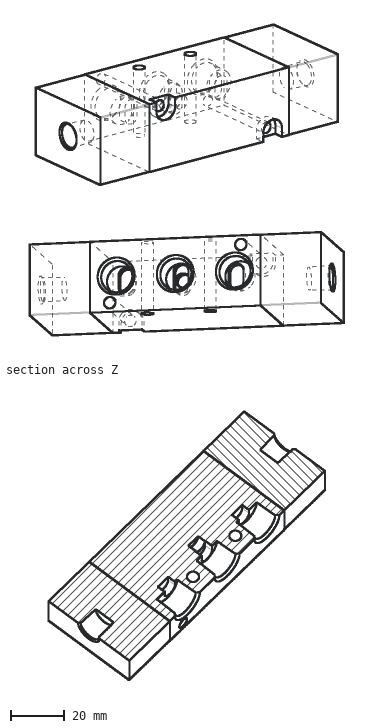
import cadquery as cq

width = 40.0
length = 111.0
height = 27.0
body_length = 65.0
cap_length = (length - body_length) / 2
cap_edge_radius = 0.3

bore_taper = 1 / 16

port_pitch = 22.5
port_diameter = 11.9
port_depth = 10.0
port_chamfer = 1.1
slot_width = 5.7
slot_depth = 3.3
outer_slot_length = 9.8
outer_slot_pitch = 21.0
middle_slot_length = 11.5
pilot_diameter = 5.3
pilot_depth = 3.3

mount_diameter = 4.3
vertical_hole_x = -13.5
vertical_hole_pitch = 24.0
cross_hole_y = 25.0
cross_hole_z = 10.0
head_width = 8.8
head_depth = 4.1

cap_port_diameter = 9.1
cap_port_depth = 8.9
cap_port_chamfer = 0.7

face_x = -width / 2
port_floor_x = face_x + port_depth
slot_floor_x = port_floor_x + slot_depth


def chamfered_bore(diameter, depth, chamfer):
    """Blind bore along +Z from the origin, tapering to its floor and chamfered at its mouth."""
    radius = diameter / 2
    floor_radius = radius - bore_taper * (depth - chamfer) / 2
    profile = [
        (0, 0),
        (radius + chamfer, 0),
        (radius, chamfer),
        (floor_radius, depth),
        (0, depth),
    ]
    return cq.Workplane("XZ").polyline(profile).close().revolve(360, (0, 0), (0, 1))


def port_cutter(y, slot_y, slot_length):
    """Bore into the -X face at y, with a round-ended slot along Z in its floor."""
    bore = chamfered_bore(port_diameter, port_depth, port_chamfer)
    bore = bore.rotate((0, 0, 0), (0, 1, 0), 90).translate((face_x, y, 0))
    slot = (
        cq.Workplane("YZ", origin=(port_floor_x, slot_y, 0))
        .slot2D(slot_length, slot_width, 90)
        .extrude(slot_depth)
    )
    return bore.union(slot)


def cross_hole_cutter(side):
    """Hole along X near the top (side = 1) or bottom (side = -1) edge of the body.

    Its screw seat in the +X face is a round-ended slot open at that edge.
    """
    y = -side * cross_hole_y
    z = side * cross_hole_z
    hole = (
        cq.Workplane("YZ", origin=(face_x, y, z))
        .circle(mount_diameter / 2)
        .extrude(width)
    )
    seat_plane = cq.Workplane("YZ", origin=(width / 2 - head_depth, y, z))
    round_end = seat_plane.circle(head_width / 2).extrude(head_depth)
    opening = seat_plane.center(0, side * head_width / 2).rect(head_width, head_width).extrude(head_depth)
    return hole.union(round_end).union(opening)


def make_valve_body():
    body = cq.Workplane("XY").box(width, body_length, height)

    for side in (-1, 1):
        body = body.cut(port_cutter(side * port_pitch, side * outer_slot_pitch, outer_slot_length))
    body = body.cut(port_cutter(0, 0, middle_slot_length))

    pilot = (
        cq.Workplane("YZ", origin=(slot_floor_x, 0, 0))
        .circle(pilot_diameter / 2)
        .extrude(pilot_depth)
    )
    body = body.cut(pilot)

    vertical_holes = (
        cq.Workplane("XY", origin=(vertical_hole_x, 0, -height / 2))
        .rarray(1.1, vertical_hole_pitch, 1, 2)
        .circle(mount_diameter / 2)
        .extrude(height)
    )
    body = body.cut(vertical_holes)
    for side in (-1, 1):
        body = body.cut(cross_hole_cutter(side))
    return body


def make_end_cap(side):
    """Cap on the -Y (side = -1) or +Y (side = 1) end of the body."""
    cap = (
        cq.Workplane("XY")
        .box(width, cap_length, height)
        .edges("|Y")
        .fillet(cap_edge_radius)
        .translate((0, -(body_length + cap_length) / 2, 0))
    )
    port = chamfered_bore(cap_port_diameter, cap_port_depth, cap_port_chamfer)
    port = port.rotate((0, 0, 0), (1, 0, 0), -90).translate((0, -length / 2, 0))
    cap = cap.cut(port)
    return cap if side < 0 else cap.rotate((0, 0, 0), (0, 0, 1), 180)


valve_body = make_valve_body()
end_caps = [make_end_cap(side) for side in (-1, 1)]

result = cq.Compound.makeCompound([valve_body.val(), *[cap.val() for cap in end_caps]])